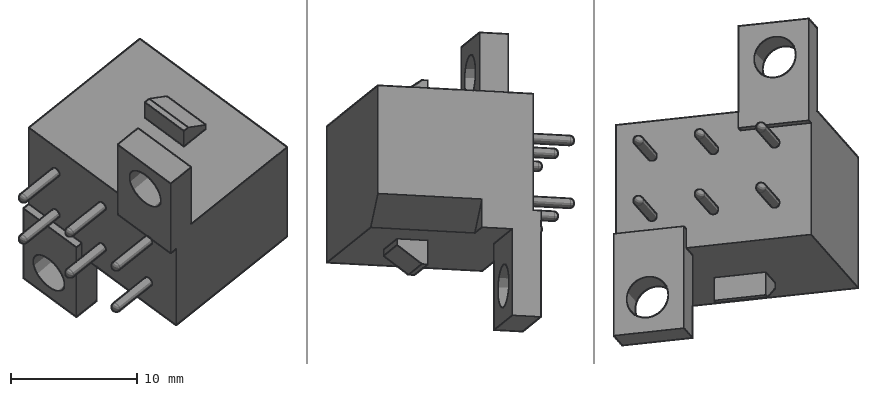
import cadquery as cq

body_width = 16.15
body_depth = 12.7
body_height = 11.02

overall_height = 25.0
ear_width = 5.82
ear_height = 8.6
ear_thickness = 2.35
ear_projection = 0.62
hole_diameter = 3.42
hole_side_inset = 2.8
hole_end_inset = 2.95

latch_width = 4.27
latch_height = 1.92
latch_length = 2.52
latch_back_inset = 3.1
latch_low_height = 0.5
latch_crest_length = 0.5

bevel_size = 2.27
bevel_length = 8.5

pin_diameter = 0.8
pin_length = 4.1
pin_pitch = 5.07
pin_columns = 3
pin_rows = 2


def half_turn(shape):
    """Copy of a shape turned 180 degrees about the housing's Y axis."""
    return shape.rotate((0, 0, 0), (0, 1, 0), 180)


def make_body():
    body = cq.Workplane("XY").box(body_width, body_depth, body_height)
    body = body.translate((0, body_depth / 2, 0))
    left = -body_width / 2
    bottom = -body_height / 2
    bevel = (
        cq.Workplane("XZ", origin=(0, body_depth, 0))
        .moveTo(left, bottom)
        .lineTo(left + bevel_size, bottom)
        .lineTo(left, bottom + bevel_size)
        .close()
        .extrude(bevel_length)
    )
    return body.cut(bevel)


def make_upper_ear():
    right = body_width / 2
    top = overall_height / 2
    front = cq.Workplane("XZ", origin=(0, -ear_projection, 0))
    ear = (
        front.center(right - ear_width / 2, top - ear_height / 2)
        .rect(ear_width, ear_height)
        .extrude(-ear_thickness)
    )
    hole = (
        cq.Workplane("XZ", origin=(0, -ear_projection, 0))
        .center(right - hole_side_inset, top - hole_end_inset)
        .circle(hole_diameter / 2)
        .extrude(-ear_thickness)
    )
    return ear.cut(hole)


def make_upper_latch():
    base = body_height / 2
    rear = body_depth - latch_back_inset
    front = rear - latch_length
    return (
        cq.Workplane("YZ")
        .moveTo(front, base)
        .lineTo(front, base + latch_height)
        .lineTo(front + latch_crest_length, base + latch_height)
        .lineTo(rear, base + latch_low_height)
        .lineTo(rear, base)
        .close()
        .extrude(latch_width / 2, both=True)
    )


def make_pins():
    radius = pin_diameter / 2
    shank_length = pin_length - radius
    shanks = (
        cq.Workplane("XZ")
        .rarray(pin_pitch, pin_pitch, pin_columns, pin_rows)
        .circle(radius)
        .extrude(shank_length)
    )
    tips = (
        cq.Workplane("XZ", origin=(0, -shank_length, 0))
        .rarray(pin_pitch, pin_pitch, pin_columns, pin_rows)
        .sphere(radius)
    )
    return shanks.union(tips)


upper_ear = make_upper_ear()
upper_latch = make_upper_latch()

result = make_body().union(make_pins())
for feature in (upper_ear, upper_latch):
    result = result.union(feature).union(half_turn(feature))